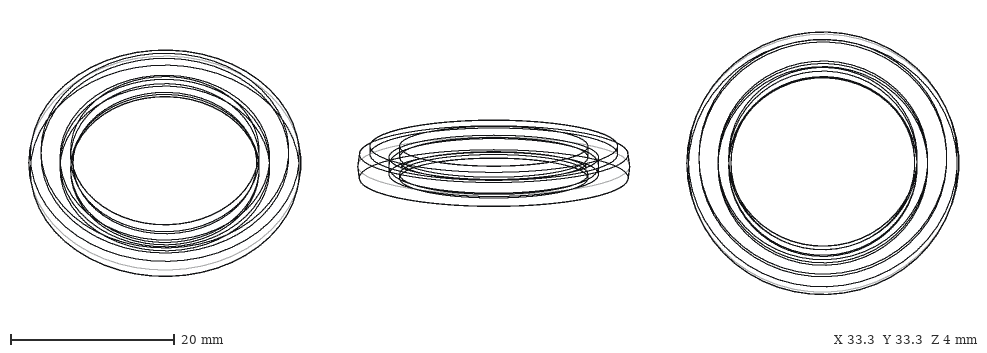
import cadquery as cq

height = 4.0
outer_radius = 16.65
rim_edge_radius = 16.45
widest_height = 1.53
step_height = 3.0
boss_radius = 15.15

bore_radius = 11.52
groove_floor_height = 0.45
groove_top_height = 2.6

ring_inner_radius = 11.22
ring_section_radius = 0.8
ring_center_height = (groove_floor_height + groove_top_height) / 2
ring_center_radius = ring_inner_radius + ring_section_radius
groove_radius = ring_center_radius + ring_section_radius


def make_housing():
    """Revolve the stepped, grooved section about the Z axis."""
    section = [
        (bore_radius, 0),
        (rim_edge_radius, 0),
        (outer_radius, widest_height),
        (rim_edge_radius, step_height),
        (boss_radius, step_height),
        (boss_radius, height),
        (bore_radius, height),
        (bore_radius, groove_top_height),
        (groove_radius, groove_top_height),
        (groove_radius, groove_floor_height),
        (bore_radius, groove_floor_height),
    ]
    return cq.Workplane("XZ").polyline(section).close().revolve(360, (0, 0), (0, 1))


def make_sealing_ring():
    """Torus around the Z axis."""
    return cq.Workplane(
        obj=cq.Solid.makeTorus(ring_center_radius, ring_section_radius, cq.Vector(0, 0, ring_center_height))
    )


housing = make_housing()
sealing_ring = make_sealing_ring()
result = cq.Compound.makeCompound([housing.val(), sealing_ring.val()])